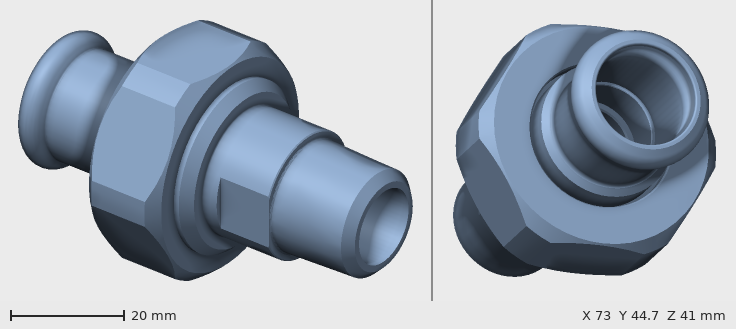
import cadquery as cq
import math

LENGTH = 73.0

TUBE_R = 21.3 / 2
SOCKET_R = 18.3 / 2
STOP_R = 17.0 / 2
COLLAR_R = 25.0 / 2
MOUTH_R = 18.7 / 2
FACE_R = 20.5 / 2
BEAD_X = 3.15
BEAD_R = 2.8
BEAD_CENTER_R = 10.1
BEAD_START_X = 0.69
NECK_X = 6.4
BEAD_END_X = 5.55
NECK_CONE_X = 6.0
NECK_CONE_R = 10.8
LIP_ROUND = 0.4
LIP_END_X = 0.95
WALL = 1.45
GROOVE_HALF_WIDTH = 1.1
GROOVE_CONE_X = 4.75
GROOVE_CONE_R = 9.9
SOCKET_START_X = 6.1
COLLAR_FILLET_X = 18.0
COLLAR_CONE_X = 18.8
COLLAR_CONE_R = 11.25
COLLAR_X = 19.85
STOP_X = 20.45
STOP_CHAMFER = 0.15

NUT_X = 23.0
NUT_END_X = 39.0
NUT_FLATS = 41.0
NUT_CORNER_R = 44.7 / 2
NUT_FACE_R = 40.45 / 2
NUT_HOLE_R = 26.5 / 2
NUT_HOLE_CHAMFER = 0.3
NUT_BORE_R = 30.3 / 2
NUT_LIP = 2.9
NUT_CHAMFER = NUT_CORNER_R - NUT_FACE_R

SHOULDER_X = NUT_X + NUT_LIP
JOINT_X = SHOULDER_X + 2.9

BODY_BORE_R = 14.5 / 2
BORE_CHAMFER = 0.3
FLANGE_R = 33.1 / 2
FLANGE_END_R = 29.5 / 2
FLANGE_CONE_X = 40.1
FLANGE_END_X = 42.1
BARREL_R = 24.5 / 2
BARREL_FILLET = 0.3
BARREL_END_X = 55.8
BARREL_CHAMFER = 0.2
TAPER_FILLET = 0.4
TAPER_START_R = 21.45 / 2
TAPER_END_X = 71.25
TAPER_END_R = 20.5 / 2
TIP_R = 17.0 / 2
FLATS_X = 45.25
FLATS_WIDTH = 22.1


def circle_height(offset, radius):
    """Height of a circle above its centre, at an offset from the centre."""
    return math.sqrt(radius**2 - offset**2)


def revolve_about_x(profile):
    return profile.close().revolve(360, (0, 0, 0), (1, 0, 0))


def make_tailpiece():
    bead_start_r = BEAD_CENTER_R + circle_height(BEAD_X - BEAD_START_X, BEAD_R)
    bead_end_r = BEAD_CENTER_R + circle_height(BEAD_END_X - BEAD_X, BEAD_R)
    groove_r = BEAD_R - WALL
    groove_edge_r = BEAD_CENTER_R + circle_height(GROOVE_HALF_WIDTH, groove_r)
    profile = (
        cq.Workplane("XY")
        .moveTo(0, MOUTH_R + LIP_ROUND)
        .lineTo(0, FACE_R)
        .lineTo(BEAD_START_X, bead_start_r)
        .threePointArc((BEAD_X, BEAD_CENTER_R + BEAD_R), (BEAD_END_X, bead_end_r))
        .lineTo(NECK_CONE_X, NECK_CONE_R)
        .tangentArcPoint((NECK_X, TUBE_R), relative=False)
        .lineTo(COLLAR_FILLET_X, TUBE_R)
        .tangentArcPoint((COLLAR_CONE_X, COLLAR_CONE_R), relative=False)
        .lineTo(COLLAR_X, COLLAR_R)
        .lineTo(SHOULDER_X, COLLAR_R)
        .lineTo(SHOULDER_X, NUT_BORE_R)
        .lineTo(JOINT_X, NUT_BORE_R)
        .lineTo(JOINT_X, STOP_R)
        .lineTo(STOP_X + STOP_CHAMFER, STOP_R)
        .lineTo(STOP_X, STOP_R + STOP_CHAMFER)
        .lineTo(STOP_X, SOCKET_R)
        .lineTo(SOCKET_START_X, SOCKET_R)
        .tangentArcPoint((GROOVE_CONE_X, GROOVE_CONE_R), relative=False)
        .lineTo(BEAD_X + GROOVE_HALF_WIDTH, groove_edge_r)
        .threePointArc(
            (BEAD_X, BEAD_CENTER_R + groove_r), (BEAD_X - GROOVE_HALF_WIDTH, groove_edge_r)
        )
        .lineTo(LIP_END_X, MOUTH_R)
        .lineTo(LIP_ROUND, MOUTH_R)
        .tangentArcPoint((0, MOUTH_R + LIP_ROUND), relative=False)
    )
    return revolve_about_x(profile)


def make_nut():
    hexagon = (
        cq.Workplane("YZ", origin=(NUT_X, 0, 0))
        .transformed(rotate=(0, 0, 90))
        .polygon(6, NUT_FLATS, circumscribed=True)
        .extrude(NUT_END_X - NUT_X)
    )
    turned = revolve_about_x(
        cq.Workplane("XY")
        .moveTo(NUT_X, NUT_HOLE_R + NUT_HOLE_CHAMFER)
        .lineTo(NUT_X, NUT_FACE_R)
        .lineTo(NUT_X + NUT_CHAMFER, NUT_CORNER_R)
        .lineTo(NUT_END_X - NUT_CHAMFER, NUT_CORNER_R)
        .lineTo(NUT_END_X, NUT_FACE_R)
        .lineTo(NUT_END_X, NUT_BORE_R)
        .lineTo(SHOULDER_X, NUT_BORE_R)
        .lineTo(SHOULDER_X, NUT_HOLE_R)
        .lineTo(NUT_X + NUT_HOLE_CHAMFER, NUT_HOLE_R)
    )
    return hexagon.intersect(turned)


def make_body():
    taper_x = BARREL_END_X + BARREL_CHAMFER
    turned = revolve_about_x(
        cq.Workplane("XY")
        .moveTo(JOINT_X, BODY_BORE_R + BORE_CHAMFER)
        .lineTo(JOINT_X, NUT_BORE_R)
        .lineTo(NUT_END_X, NUT_BORE_R)
        .lineTo(NUT_END_X, FLANGE_R)
        .lineTo(FLANGE_CONE_X, FLANGE_R)
        .lineTo(FLANGE_END_X, FLANGE_END_R)
        .lineTo(FLANGE_END_X, BARREL_R + BARREL_FILLET)
        .radiusArc((FLANGE_END_X + BARREL_FILLET, BARREL_R), -BARREL_FILLET)
        .lineTo(BARREL_END_X, BARREL_R)
        .lineTo(taper_x, BARREL_R - BARREL_CHAMFER)
        .lineTo(taper_x, TAPER_START_R + TAPER_FILLET)
        .radiusArc((taper_x + TAPER_FILLET, TAPER_START_R), -TAPER_FILLET)
        .lineTo(TAPER_END_X, TAPER_END_R)
        .lineTo(LENGTH, TIP_R)
        .lineTo(LENGTH, BODY_BORE_R)
        .lineTo(JOINT_X + BORE_CHAMFER, BODY_BORE_R)
    )
    return cut_wrench_flats(turned)


def cut_wrench_flats(body):
    """Cut two opposite flats, on -Y and +Y, from FLATS_X to the barrel end."""
    flats_length = BARREL_END_X + BARREL_CHAMFER - FLATS_X
    cut_depth = BARREL_R
    for side in (-1, 1):
        cutter = cq.Workplane("XY").box(
            flats_length, cut_depth, 2 * BARREL_R, centered=(False, True, True)
        )
        offset = side * (FLATS_WIDTH + cut_depth) / 2
        body = body.cut(cutter.translate((FLATS_X, offset, 0)))
    return body


tailpiece = make_tailpiece()
nut = make_nut()
body = make_body()

result = cq.Compound.makeCompound([tailpiece.val(), nut.val(), body.val()])